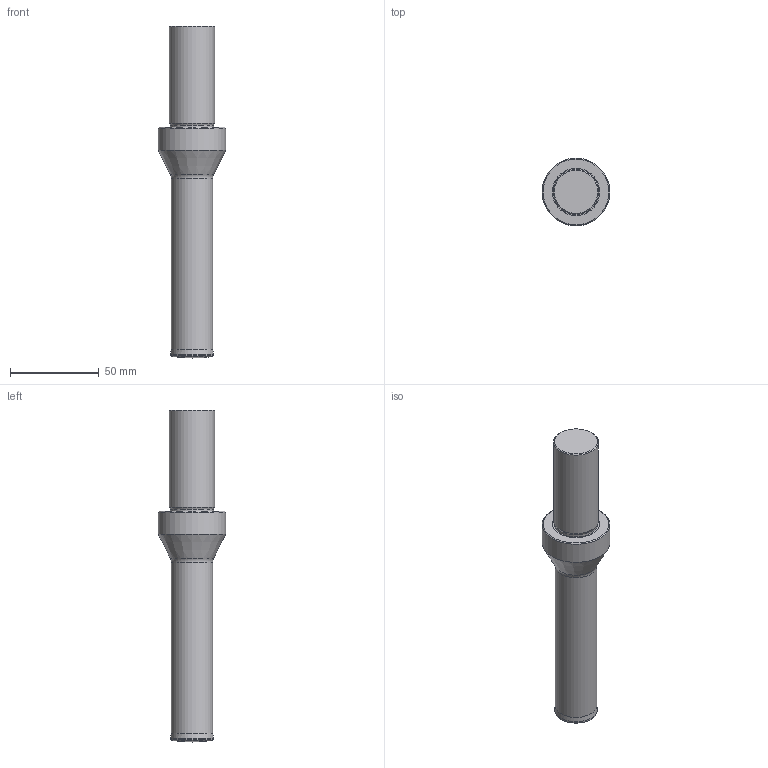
import cadquery as cq
import math

TOTAL_LENGTH = 186.94
AXIS_START = (0, 0)
AXIS_END = (0, 1)

SHANK_RADIUS = 25.4 / 2
SHANK_LENGTH = 57.0
EDGE_CHAMFER = 0.5

NECK_RADIUS = 12.2
NECK_LENGTH = 1.2
NECK_TAPER_HEIGHT = 1.1
UNDERCUT_RADIUS = 13.3
UNDERCUT_DEPTH = 0.3

FLANGE_RADIUS = 38.1 / 2
FLANGE_THICKNESS = 13.0
CONE_HEIGHT = 14.7
CONE_FILLET = 5.0

STEM_RADIUS = 11.7
FLARE_RADIUS = 12.0
FLARE_HEIGHT = 2.8

CAP_RADIUS = FLARE_RADIUS
CAP_THICKNESS = 2.0
CAP_CHAMFER = 0.4
CAP_DOME_HEIGHT = 0.8

FLANGE_TOP = TOTAL_LENGTH - SHANK_LENGTH
FLANGE_BOTTOM = FLANGE_TOP - FLANGE_THICKNESS
CONE_BOTTOM = FLANGE_BOTTOM - CONE_HEIGHT
FLARE_TOP = CAP_THICKNESS + FLARE_HEIGHT
NECK_TOP = FLANGE_TOP + NECK_LENGTH
SHANK_BOTTOM = NECK_TOP + NECK_TAPER_HEIGHT


def make_holder():
    """Shank, flange, cone and stem turned as one solid."""
    cone_angle = math.atan2(FLANGE_RADIUS - STEM_RADIUS, CONE_HEIGHT)
    tangent = CONE_FILLET * math.tan(cone_angle / 2)
    fillet_bottom = (STEM_RADIUS, CONE_BOTTOM - tangent)
    fillet_middle = (
        STEM_RADIUS + CONE_FILLET * (1 - math.cos(cone_angle / 2)),
        CONE_BOTTOM - tangent + CONE_FILLET * math.sin(cone_angle / 2),
    )
    fillet_top = (
        STEM_RADIUS + tangent * math.sin(cone_angle),
        CONE_BOTTOM + tangent * math.cos(cone_angle),
    )
    return (
        cq.Workplane("XZ")
        .moveTo(0, CAP_THICKNESS)
        .lineTo(FLARE_RADIUS, CAP_THICKNESS)
        .lineTo(STEM_RADIUS, FLARE_TOP)
        .lineTo(*fillet_bottom)
        .threePointArc(fillet_middle, fillet_top)
        .lineTo(FLANGE_RADIUS, FLANGE_BOTTOM)
        .lineTo(FLANGE_RADIUS, FLANGE_TOP - EDGE_CHAMFER)
        .lineTo(FLANGE_RADIUS - EDGE_CHAMFER, FLANGE_TOP)
        .lineTo(UNDERCUT_RADIUS, FLANGE_TOP)
        .lineTo(UNDERCUT_RADIUS, FLANGE_TOP - UNDERCUT_DEPTH)
        .lineTo(NECK_RADIUS, FLANGE_TOP - UNDERCUT_DEPTH)
        .lineTo(NECK_RADIUS, NECK_TOP)
        .lineTo(SHANK_RADIUS, SHANK_BOTTOM)
        .lineTo(SHANK_RADIUS, TOTAL_LENGTH - EDGE_CHAMFER)
        .lineTo(SHANK_RADIUS - EDGE_CHAMFER, TOTAL_LENGTH)
        .lineTo(0, TOTAL_LENGTH)
        .close()
        .revolve(360, AXIS_START, AXIS_END)
    )


def make_end_cap():
    """Disc with a chamfered rim and a shallow domed underside, seated against the stem."""
    dome_edge_radius = CAP_RADIUS - CAP_CHAMFER
    dome_sphere_radius = (dome_edge_radius**2 + CAP_DOME_HEIGHT**2) / (2 * CAP_DOME_HEIGHT)
    half_angle = math.asin(dome_edge_radius / dome_sphere_radius) / 2
    dome_middle = (
        dome_sphere_radius * math.sin(half_angle),
        dome_sphere_radius * (1 - math.cos(half_angle)),
    )
    return (
        cq.Workplane("XZ")
        .threePointArc(dome_middle, (dome_edge_radius, CAP_DOME_HEIGHT))
        .lineTo(CAP_RADIUS, CAP_DOME_HEIGHT + CAP_CHAMFER)
        .lineTo(CAP_RADIUS, CAP_THICKNESS)
        .lineTo(0, CAP_THICKNESS)
        .close()
        .revolve(360, AXIS_START, AXIS_END)
    )


holder = make_holder()
end_cap = make_end_cap()

result = cq.Compound.makeCompound([holder.val(), end_cap.val()])